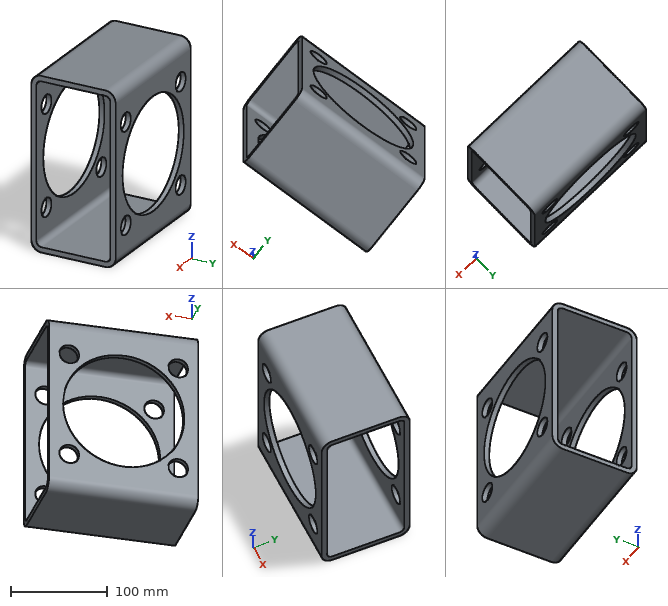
import cadquery as cq

length = 160.0
width = 100.0
height = 200.0
wall = 6.2
outer_radius = 2 * wall
inner_radius = outer_radius - wall

bore_diameter = 130.0
bolt_hole_diameter = 21.0
bolt_spacing = 116.8


def rounded_bar(bar_width, bar_height, corner_radius):
    """Solid bar along X with its four long edges rounded."""
    return cq.Workplane("XY").box(length, bar_width, bar_height).edges("|X").fillet(corner_radius)


def cross_cylinders(diameter, points):
    """Cylinders along Y, long enough to pass through both side walls."""
    return (
        cq.Workplane("XZ")
        .pushPoints(points)
        .circle(diameter / 2)
        .extrude(width, both=True)
    )


outer_bar = rounded_bar(width, height, outer_radius)
inner_bar = rounded_bar(width - 2 * wall, height - 2 * wall, inner_radius)
tube = outer_bar.cut(inner_bar)

half_spacing = bolt_spacing / 2
bolt_points = [(x, z) for x in (-half_spacing, half_spacing) for z in (-half_spacing, half_spacing)]

result = (
    tube
    .cut(cross_cylinders(bore_diameter, [(0, 0)]))
    .cut(cross_cylinders(bolt_hole_diameter, bolt_points))
)